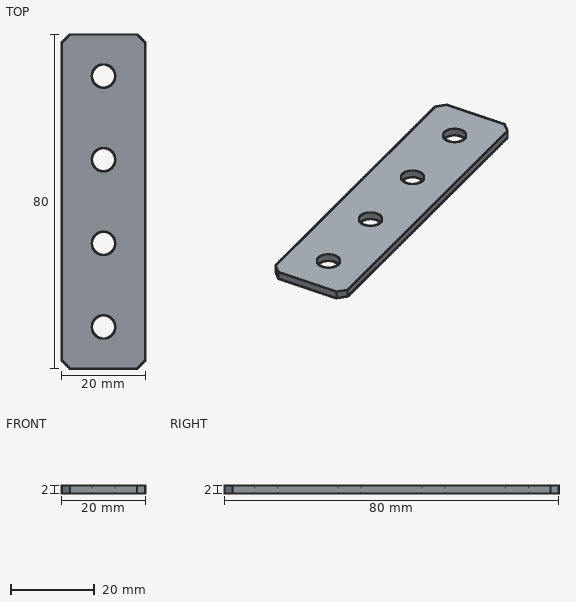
import cadquery as cq

hole_count = 4
hole_pitch = 20.0
thickness = 2.0
hole_diameter = 5.5
corner_chamfer = 2.0

width = hole_pitch
length = hole_count * hole_pitch

plate = cq.Workplane("XY").box(width, length, thickness).edges("|Z").chamfer(corner_chamfer)

result = (
    plate.faces(">Z")
    .workplane()
    .rarray(width, hole_pitch, 1, hole_count)
    .hole(hole_diameter)
)